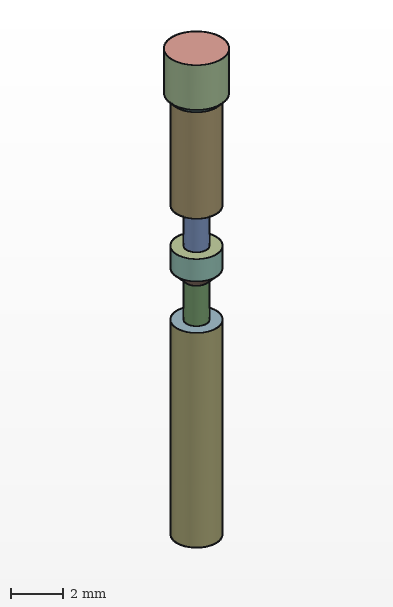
import cadquery as cq

total_length = 21.7

head_radius = 2.5 / 2
shank_radius = 2.0 / 2
neck_radius = 1.0 / 2

lower_shank_length = 9.6
lower_neck_length = 1.8
collar_cone_length = 0.5
collar_length = 1.0
upper_neck_length = 1.8
head_length = 2.0
head_cone_length = 0.25

lower_shank_top = lower_shank_length
collar_cone_bottom = lower_shank_top + lower_neck_length
collar_bottom = collar_cone_bottom + collar_cone_length
collar_top = collar_bottom + collar_length
upper_shank_bottom = collar_top + upper_neck_length
head_bottom = total_length - head_length
head_cone_bottom = head_bottom - head_cone_length

profile = [
    (0, 0),
    (shank_radius, 0),
    (shank_radius, lower_shank_top),
    (neck_radius, lower_shank_top),
    (neck_radius, collar_cone_bottom),
    (shank_radius, collar_bottom),
    (shank_radius, collar_top),
    (neck_radius, collar_top),
    (neck_radius, upper_shank_bottom),
    (shank_radius, upper_shank_bottom),
    (shank_radius, head_cone_bottom),
    (head_radius, head_bottom),
    (head_radius, total_length),
    (0, total_length),
]

result = cq.Workplane("XZ").polyline(profile).close().revolve(360, (0, 0, 0), (0, 1, 0))